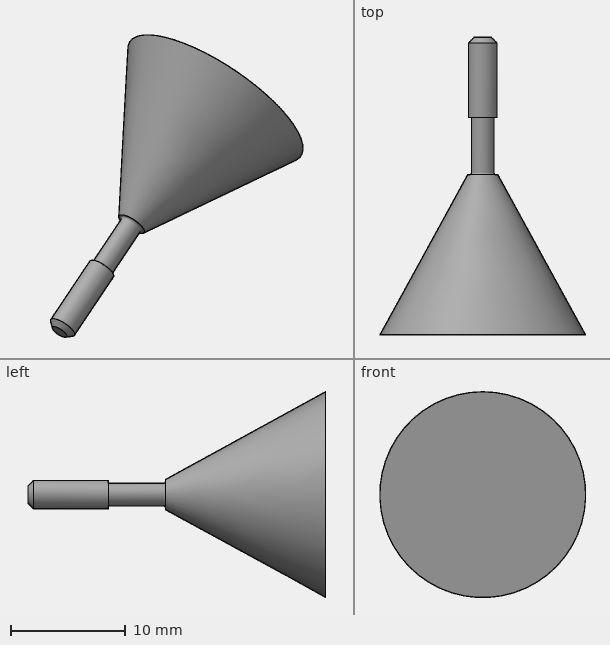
import cadquery as cq

total_length = 26.0
cone_length = 14.0
neck_length = 5.0
tip_chamfer = 0.5
neck_root_fillet = 0.15

face_radius = 18.0 / 2
cone_top_radius = 2.65 / 2
neck_radius = 2.0 / 2
stud_radius = 2.5 / 2

stud_start = cone_length + neck_length

profile = (
    cq.Workplane("YZ")
    .moveTo(0, 0)
    .lineTo(0, face_radius)
    .lineTo(cone_length, cone_top_radius)
    .lineTo(cone_length, neck_radius + neck_root_fillet)
    .radiusArc((cone_length + neck_root_fillet, neck_radius), -neck_root_fillet)
    .lineTo(stud_start, neck_radius)
    .lineTo(stud_start, stud_radius)
    .lineTo(total_length - tip_chamfer, stud_radius)
    .lineTo(total_length, stud_radius - tip_chamfer)
    .lineTo(total_length, 0)
    .close()
)

result = profile.revolve(360, (0, 0, 0), (1, 0, 0))